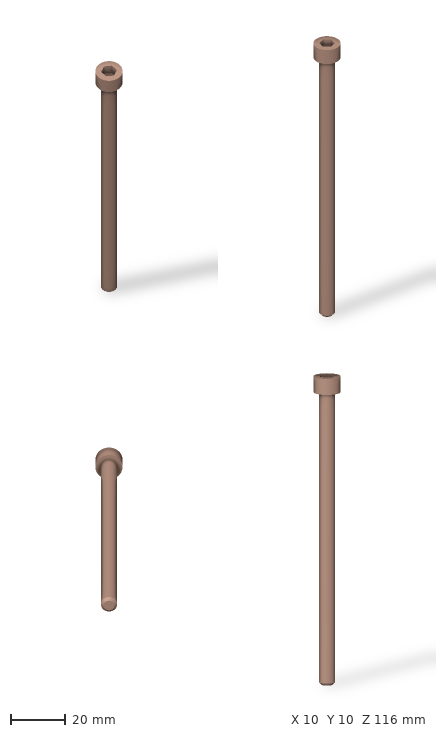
import cadquery as cq
import math

thread_diameter = 6.0
screw_length = 110.0
thread_length = 24.0
tip_chamfer = 1.01

head_diameter = 10.0
head_height = thread_diameter

socket_across_flats = 5.05
socket_depth = 4.0

head_radius = head_diameter / 2
shank_radius = thread_diameter / 2
tip_z = -screw_length
thread_start_z = tip_z + thread_length

def make_screw_body():
    """Turned head, plain shank, threaded length and chamfered tip.

    The extra profile point at the thread start keeps the plain shank
    and the threaded length as separate cylindrical faces; clean=False
    stops the two faces from being merged.
    """
    half_profile = (
        cq.Workplane("XZ")
        .moveTo(0, head_height)
        .lineTo(head_radius, head_height)
        .lineTo(head_radius, 0)
        .lineTo(shank_radius, 0)
        .lineTo(shank_radius, thread_start_z)
        .lineTo(shank_radius, tip_z + tip_chamfer)
        .lineTo(shank_radius - tip_chamfer, tip_z)
        .lineTo(0, tip_z)
        .close()
    )
    return half_profile.revolve(360, (0, 0, 0), (0, 1, 0), clean=False)

def make_socket():
    """Hexagonal key socket with two flats facing +Y and -Y."""
    across_corners = socket_across_flats / math.cos(math.pi / 6)
    return (
        cq.Workplane("XY")
        .workplane(offset=head_height - socket_depth)
        .polygon(6, across_corners)
        .extrude(socket_depth)
    )

result = make_screw_body().cut(make_socket(), clean=False)